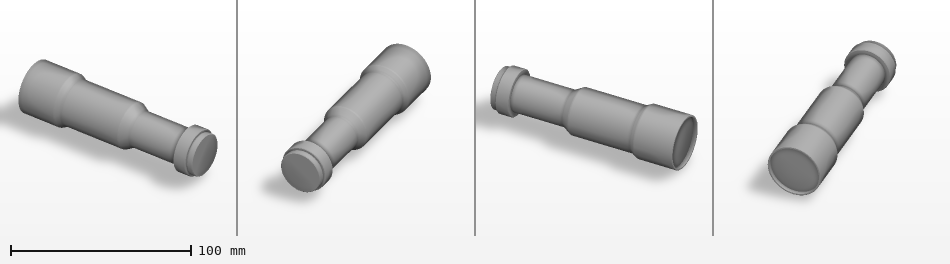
import cadquery as cq
import math

total_length = 114.8
head_taper_start = 23.9
body_taper_start = 65.8
flange_start = 103.0
flange_end = 110.9
groove_width = 0.7

head_diameter = 32.0
body_diameter = 28.0
stem_diameter = 21.8
flange_diameter = body_diameter
groove_diameter = 24.7
end_ring_diameter = 25.4

taper_angle = math.radians(30)
taper_blend_radius = 2.0
edge_chamfer = 0.3
rim_chamfer = 0.2

recess_diameter = 30.0
recess_depth = 2.4


def cylinder(start, end, diameter):
    """Solid cylinder on the X axis between two axial positions."""
    return cq.Workplane("YZ", origin=(start, 0, 0)).circle(diameter / 2).extrude(end - start)


def taper_end(start, large_diameter, small_diameter):
    """Axial position where a taper reaches its small diameter."""
    return start + (large_diameter - small_diameter) / 2 / math.tan(taper_angle)


def make_barrel():
    """Head, body and stem joined by tapers with blended corners, and a chamfered rim."""
    head_taper_end = taper_end(head_taper_start, head_diameter, body_diameter)
    body_taper_end = taper_end(body_taper_start, body_diameter, stem_diameter)
    barrel = (
        cq.Workplane("XY")
        .moveTo(0, 0)
        .lineTo(0, head_diameter / 2)
        .lineTo(head_taper_start, head_diameter / 2)
        .lineTo(head_taper_end, body_diameter / 2)
        .lineTo(body_taper_start, body_diameter / 2)
        .lineTo(body_taper_end, stem_diameter / 2)
        .lineTo(flange_start, stem_diameter / 2)
        .lineTo(flange_start, 0)
        .close()
        .revolve(360, (0, 0, 0), (1, 0, 0))
    )
    end_margin = 1.1
    taper_corners = cq.selectors.BoxSelector(
        (end_margin, -head_diameter, -head_diameter),
        (flange_start - end_margin, head_diameter, head_diameter),
    )
    barrel = barrel.edges("%CIRCLE").edges(taper_corners).fillet(taper_blend_radius)
    return barrel.faces("<X").edges().chamfer(rim_chamfer)


def make_flange_end():
    """Chamfered flange and end ring separated by a narrow groove."""
    ring_start = flange_end + groove_width
    flange = cylinder(flange_start, flange_end, flange_diameter)
    flange = flange.edges("%CIRCLE").chamfer(edge_chamfer)
    groove_core = cylinder(flange_end, ring_start, groove_diameter)
    end_ring = cylinder(ring_start, total_length, end_ring_diameter)
    end_ring = end_ring.edges(">X").chamfer(edge_chamfer)
    return flange.union(groove_core).union(end_ring)


recess = cylinder(0, recess_depth, recess_diameter)
result = make_barrel().cut(recess).union(make_flange_end())